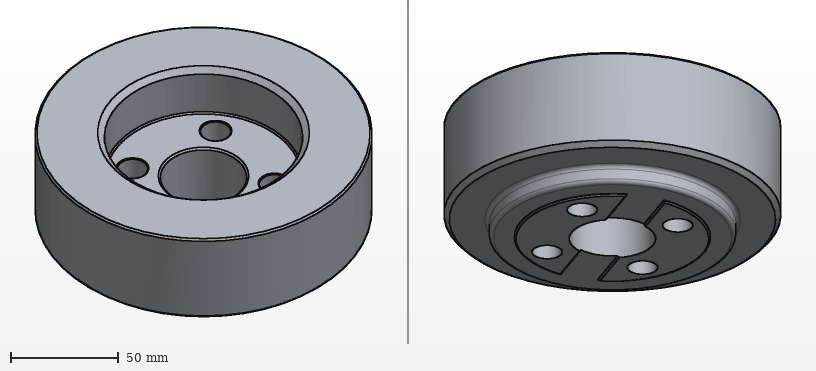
import cadquery as cq

body_radius = 78.0
body_height = 48.0
top_edge_chamfer = 1.0
bottom_edge_chamfer = 2.5

boss_radius = 57.0
boss_height = 9.0
boss_fillet = 2.0
pad_radius = 45.4
pad_height = 1.0
pad_chamfer = 0.8
pad_gap = 18.1

recess_radius = 45.8
recess_depth = 25.7
recess_mouth_radius = 49.0
recess_mouth_depth = 2.5
recess_floor_chamfer = 0.8

bore_radius = 20.0
bore_chamfer = 1.0
bolt_hole_radius = 7.0
bolt_hole_chamfer = 0.5
bolt_hole_spacing = 47.1

boss_bottom = pad_height
body_bottom = boss_bottom + boss_height
body_top = body_bottom + body_height
recess_floor = body_top - recess_depth


def make_body():
    body = cq.Workplane("XY").workplane(offset=body_bottom).circle(body_radius).extrude(body_height)
    body = body.faces(">Z").edges().chamfer(top_edge_chamfer)
    return body.faces("<Z").edges().chamfer(bottom_edge_chamfer)


def make_boss():
    """Boss with a rounded lower edge and a concave fillet against the body."""
    corner_offset = boss_fillet * (1 - 0.5 ** 0.5)
    fillet_start = boss_bottom + boss_fillet
    fillet_end = body_bottom - boss_fillet
    profile = (
        cq.Workplane("XZ")
        .moveTo(0, boss_bottom)
        .lineTo(boss_radius - boss_fillet, boss_bottom)
        .threePointArc((boss_radius - corner_offset, boss_bottom + corner_offset), (boss_radius, fillet_start))
        .lineTo(boss_radius, fillet_end)
        .threePointArc(
            (boss_radius + corner_offset, body_bottom - corner_offset),
            (boss_radius + boss_fillet, body_bottom),
        )
        .lineTo(0, body_bottom)
        .close()
    )
    return profile.revolve(360, (0, 0, 0), (0, 1, 0))


def make_pad():
    """Raised disc split along X by a straight gap."""
    pad = cq.Workplane("XY").circle(pad_radius).extrude(pad_height)
    gap = cq.Workplane("XY").box(2 * pad_radius, pad_gap, 2 * pad_height)
    return pad.cut(gap).faces("<Z").edges().chamfer(pad_chamfer)


def make_recess():
    profile = [
        (0, recess_floor),
        (recess_radius - recess_floor_chamfer, recess_floor),
        (recess_radius, recess_floor + recess_floor_chamfer),
        (recess_radius, body_top - recess_mouth_depth),
        (recess_mouth_radius, body_top),
        (0, body_top),
    ]
    return cq.Workplane("XZ").polyline(profile).close().revolve(360, (0, 0, 0), (0, 1, 0))


def make_hole(radius, chamfer):
    """Cutter for a through hole with a chamfer at the recess floor."""
    profile = [
        (0, 0),
        (radius, 0),
        (radius, recess_floor - chamfer),
        (radius + chamfer, recess_floor),
        (0, recess_floor),
    ]
    return cq.Workplane("XZ").polyline(profile).close().revolve(360, (0, 0, 0), (0, 1, 0))


result = make_body().union(make_boss()).union(make_pad())
result = result.cut(make_recess()).cut(make_hole(bore_radius, bore_chamfer))

bolt_hole = make_hole(bolt_hole_radius, bolt_hole_chamfer)
for x_side in (-1, 1):
    for y_side in (-1, 1):
        hole_centre = (x_side * bolt_hole_spacing / 2, y_side * bolt_hole_spacing / 2, 0)
        result = result.cut(bolt_hole.translate(hole_centre))